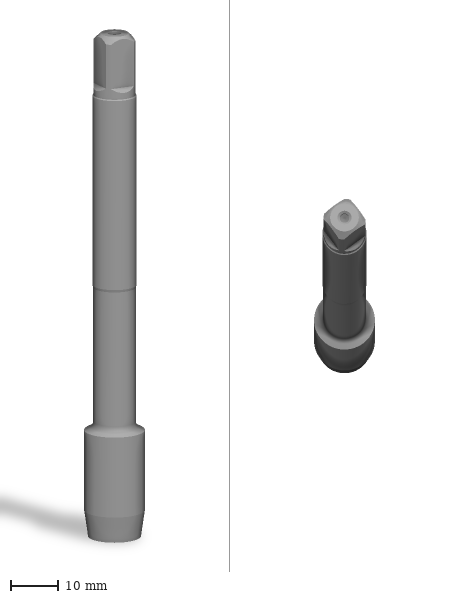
import cadquery as cq
import math

TOTAL_LENGTH = 110.0
TAPER_HEIGHT = 5.7
THREAD_TOP = 23.0
COLLAR_HEIGHT = 0.2
COLLAR_CONE_HEIGHT = 0.7
NECK_FILLET_HEIGHT = 1.3
SHANK_BOTTOM = 55.0
SHANK_TOP = 96.4
SHANK_BOTTOM_STEP = 0.5
SHANK_TOP_STEP = 0.2

THREAD_DIAMETER = 12.9
THREAD_TIP_DIAMETER = 11.2
COLLAR_TOP_DIAMETER = 10.5
NECK_DIAMETER = 9.0
SHANK_DIAMETER = 9.4
DRIVE_DIAMETER = 8.9
DRIVE_TIP_DIAMETER = 6.0

SQUARE_WIDTH = 7.0
SQUARE_LENGTH = 11.1

CENTRE_MOUTH_DIAMETER = 3.0
CENTRE_HOLE_DIAMETER = 2.0
CENTRE_HOLE_DEPTH = 0.9
DRILL_POINT_ANGLE = 120.0


def make_shank_profile():
    """Revolved blank: collar, neck, shank and drive end."""
    thread_radius = THREAD_DIAMETER / 2
    collar_top_radius = COLLAR_TOP_DIAMETER / 2
    neck_radius = NECK_DIAMETER / 2
    shank_radius = SHANK_DIAMETER / 2
    drive_radius = DRIVE_DIAMETER / 2
    tip_radius = DRIVE_TIP_DIAMETER / 2

    cone_bottom = THREAD_TOP + COLLAR_HEIGHT
    cone_top = cone_bottom + COLLAR_CONE_HEIGHT
    fillet_top = cone_top + NECK_FILLET_HEIGHT
    tip_chamfer = drive_radius - tip_radius

    return (
        cq.Workplane("XZ")
        .moveTo(0, THREAD_TOP)
        .lineTo(thread_radius, THREAD_TOP)
        .lineTo(thread_radius, cone_bottom)
        .lineTo(collar_top_radius, cone_top)
        .tangentArcPoint((neck_radius, fillet_top), relative=False)
        .lineTo(neck_radius, SHANK_BOTTOM - SHANK_BOTTOM_STEP)
        .lineTo(shank_radius, SHANK_BOTTOM)
        .lineTo(shank_radius, SHANK_TOP)
        .lineTo(drive_radius, SHANK_TOP + SHANK_TOP_STEP)
        .lineTo(drive_radius, TOTAL_LENGTH - tip_chamfer)
        .lineTo(tip_radius, TOTAL_LENGTH)
        .lineTo(0, TOTAL_LENGTH)
        .close()
        .revolve(360, (0, 0, 0), (0, 1, 0))
    )


def make_flat_cutter():
    """Cutter for one flat on the +X side, ending in a 45 degree run-out."""
    flat_offset = SQUARE_WIDTH / 2
    cut_reach = THREAD_DIAMETER / 2
    runout = cut_reach - flat_offset
    flat_bottom = TOTAL_LENGTH - SQUARE_LENGTH
    return (
        cq.Workplane("XZ")
        .moveTo(flat_offset, TOTAL_LENGTH)
        .lineTo(flat_offset, flat_bottom)
        .lineTo(cut_reach, flat_bottom - runout)
        .lineTo(cut_reach, TOTAL_LENGTH)
        .close()
        .extrude(THREAD_DIAMETER / 2, both=True)
    )


def make_centre_hole_cutter():
    """Drilled hole with a 45 degree mouth and a pointed bottom."""
    mouth_radius = CENTRE_MOUTH_DIAMETER / 2
    hole_radius = CENTRE_HOLE_DIAMETER / 2
    mouth_bottom = TOTAL_LENGTH - (mouth_radius - hole_radius)
    hole_bottom = TOTAL_LENGTH - CENTRE_HOLE_DEPTH
    point_depth = hole_radius / math.tan(math.radians(DRILL_POINT_ANGLE / 2))
    return (
        cq.Workplane("XZ")
        .moveTo(0, TOTAL_LENGTH)
        .lineTo(mouth_radius, TOTAL_LENGTH)
        .lineTo(hole_radius, mouth_bottom)
        .lineTo(hole_radius, hole_bottom)
        .lineTo(0, hole_bottom - point_depth)
        .close()
        .revolve(360, (0, 0, 0), (0, 1, 0))
    )


def make_shank():
    """Tap shank with its square drive and centre hole."""
    shank = make_shank_profile()
    flat_cutter = make_flat_cutter()
    for side in range(4):
        shank = shank.cut(flat_cutter.rotate((0, 0, 0), (0, 0, 1), side * 90))
    return shank.cut(make_centre_hole_cutter())


def make_thread_section():
    """Plain envelope of the thread below the shank, tapered at its lead end."""
    thread_radius = THREAD_DIAMETER / 2
    return (
        cq.Workplane("XZ")
        .lineTo(THREAD_TIP_DIAMETER / 2, 0)
        .lineTo(thread_radius, TAPER_HEIGHT)
        .lineTo(thread_radius, THREAD_TOP)
        .lineTo(0, THREAD_TOP)
        .close()
        .revolve(360, (0, 0, 0), (0, 1, 0))
    )


shank = make_shank()
thread_section = make_thread_section()

result = cq.Compound.makeCompound([shank.val(), thread_section.val()])